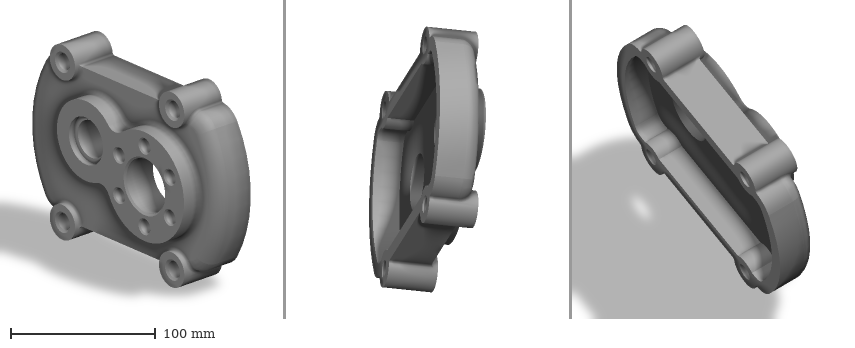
import cadquery as cq
import math

PLATE_RADIUS = 99.2
PLATE_HALF_HEIGHT = 60.0
PLATE_DEPTH = 30.0
CORNER_RADIUS = 18.8
RIM_FILLET = 10.0

WALL = 10.0
FLOOR = 11.0
CAVITY_DEPTH = PLATE_DEPTH - FLOOR

BOSS_X = 56.3
BOSS_RADIUS = 13.0
BOSS_DEPTH = 35.0
BOSS_BLEND = 2.0
LEFT_HOLE_X = -BOSS_X
RIGHT_HOLE_X = 57.3
SCREW_HOLE_RADIUS = 6.2
SCREW_HOLE_CHAMFER = 1.5

NOSE_DEPTH = 45.0
NOSE_WAIST_RADIUS = 10.0
NOSE_BLEND = 3.0
SHAFT_CENTER = (-20.8, 15.0)
SHAFT_DISC_RADIUS = 30.0
SHAFT_HOLE_RADIUS = 13.9
SHAFT_SEAT_RADIUS = 17.7
SHAFT_SEAT_DEPTH = 5.0
BEARING_CENTER = (39.5, 0)
BEARING_DISC_RADIUS = 40.9
BEARING_HOLE_RADIUS = 20.0
BEARING_HOLE_CHAMFER = 1.4

DRILL_COUNT = 6
DRILL_CIRCLE_RADIUS = 30.2
DRILL_RADIUS = 5.2
DRILL_CHAMFER = 1.0
DRILL_DEPTH = 19.8
DRILL_POINT_ANGLE = 118

TOLERANCE = 0.02
BOSS_CENTERS = [(x, z) for x in (-BOSS_X, BOSS_X) for z in (-PLATE_HALF_HEIGHT, PLATE_HALF_HEIGHT)]


def cylinder(center, radius, depth):
    """Cylinder from the back plane forward to the given depth, in two halves split at top and bottom."""
    outline = (
        cq.Workplane("XZ")
        .center(*center)
        .moveTo(0, radius)
        .threePointArc((radius, 0), (0, -radius))
        .threePointArc((-radius, 0), (0, radius))
        .close()
    )
    return outline.extrude(depth)


def cone(center, front_radius, front_depth, length):
    """Cone narrowing backward from its front circle to a point."""
    solid = cq.Solid.makeCone(
        front_radius, 0, length, cq.Vector(center[0], -front_depth, center[1]), cq.Vector(0, 1, 0)
    )
    return cq.Workplane(solid)


def chamfered_hole(center, radius, chamfer, front_depth, hole_depth):
    """Cutter for a hole with a 45-degree chamfer at its mouth."""
    mouth = radius + chamfer
    bore = cylinder(center, radius, hole_depth).translate((0, hole_depth - front_depth, 0))
    return bore.union(cone(center, mouth, front_depth, mouth))


def flattened_disc(radius, half_height, corner_radius, depth):
    """Disc cut off flat at top and bottom, with rounded corners."""
    disc = cylinder((0, 0), radius, depth)
    band = cq.Workplane("XZ").rect(2 * radius, 2 * half_height).extrude(depth)
    return disc.intersect(band).edges("|Y").fillet(corner_radius)


def make_plate():
    """Plate with rounded ends; the flat edges stay sharp between the bosses."""
    rounded = flattened_disc(PLATE_RADIUS, PLATE_HALF_HEIGHT, CORNER_RADIUS, PLATE_DEPTH)
    rounded = rounded.faces("<Y").edges().fillet(RIM_FILLET)
    middle = cq.Workplane("XZ").rect(2 * BOSS_X, 2 * PLATE_HALF_HEIGHT).extrude(PLATE_DEPTH)
    return rounded.union(middle)


def add_bosses(plate):
    """Add the screw bosses and blend every edge where they meet the plate."""
    for center in BOSS_CENTERS:
        plate = plate.union(cylinder(center, BOSS_RADIUS, BOSS_DEPTH))

    def is_joint(edge):
        """True for an edge on a boss's side that is not one of its end circles."""
        ends = (0, -BOSS_DEPTH)
        middle = edge.positionAt(0.5)
        on_boss = any(
            abs(math.hypot(middle.x - x, middle.z - z) - BOSS_RADIUS) < TOLERANCE for x, z in BOSS_CENTERS
        )
        return on_boss and all(abs(middle.y - end) > TOLERANCE for end in ends)

    return plate.edges().filter(is_joint).fillet(BOSS_BLEND)


def add_nose(body):
    """Add the two-disc nose, with rounded waists and a blend around its foot."""

    def is_waist(edge):
        """True for an edge strictly between the two disc axes."""
        x = edge.positionAt(0.5).x
        return SHAFT_CENTER[0] + TOLERANCE < x < BEARING_CENTER[0] - TOLERANCE

    nose = cylinder(SHAFT_CENTER, SHAFT_DISC_RADIUS, NOSE_DEPTH)
    nose = nose.union(cylinder(BEARING_CENTER, BEARING_DISC_RADIUS, NOSE_DEPTH))
    nose = nose.edges("|Y").filter(is_waist).fillet(NOSE_WAIST_RADIUS)
    outline = [edge.positionAt(0.5) for edge in nose.faces("<Y").edges().vals()]

    def is_foot(edge):
        """True for an edge of the nose's outline lying on the plate's front face."""
        middle = edge.positionAt(0.5)
        on_front = abs(middle.y + PLATE_DEPTH) < TOLERANCE
        on_outline = any(math.hypot(middle.x - p.x, middle.z - p.z) < TOLERANCE for p in outline)
        return on_front and on_outline

    return body.union(nose).edges().filter(is_foot).fillet(NOSE_BLEND)


def cut_cavity(body):
    """Hollow out the back, leaving the screw bosses whole."""
    cavity = flattened_disc(
        PLATE_RADIUS - WALL, PLATE_HALF_HEIGHT - WALL, CORNER_RADIUS - WALL, CAVITY_DEPTH
    )
    for center in BOSS_CENTERS:
        cavity = cavity.cut(cylinder(center, BOSS_RADIUS, CAVITY_DEPTH))
    return body.cut(cavity)


def cut_holes(body):
    for x in (LEFT_HOLE_X, RIGHT_HOLE_X):
        for z in (-PLATE_HALF_HEIGHT, PLATE_HALF_HEIGHT):
            body = body.cut(
                chamfered_hole((x, z), SCREW_HOLE_RADIUS, SCREW_HOLE_CHAMFER, BOSS_DEPTH, BOSS_DEPTH)
            )

    seat = cylinder(SHAFT_CENTER, SHAFT_SEAT_RADIUS, SHAFT_SEAT_DEPTH)
    body = body.cut(cylinder(SHAFT_CENTER, SHAFT_HOLE_RADIUS, NOSE_DEPTH))
    body = body.cut(seat.translate((0, SHAFT_SEAT_DEPTH - NOSE_DEPTH, 0)))

    body = body.cut(
        chamfered_hole(BEARING_CENTER, BEARING_HOLE_RADIUS, BEARING_HOLE_CHAMFER, NOSE_DEPTH, NOSE_DEPTH)
    )

    point_length = DRILL_RADIUS / math.tan(math.radians(DRILL_POINT_ANGLE / 2))
    for index in range(DRILL_COUNT):
        angle = math.pi / 2 + index * 2 * math.pi / DRILL_COUNT
        center = (
            BEARING_CENTER[0] + DRILL_CIRCLE_RADIUS * math.cos(angle),
            BEARING_CENTER[1] + DRILL_CIRCLE_RADIUS * math.sin(angle),
        )
        body = body.cut(chamfered_hole(center, DRILL_RADIUS, DRILL_CHAMFER, NOSE_DEPTH, DRILL_DEPTH))
        body = body.cut(cone(center, DRILL_RADIUS, NOSE_DEPTH - DRILL_DEPTH, point_length))
    return body


result = cut_holes(cut_cavity(add_nose(add_bosses(make_plate()))))